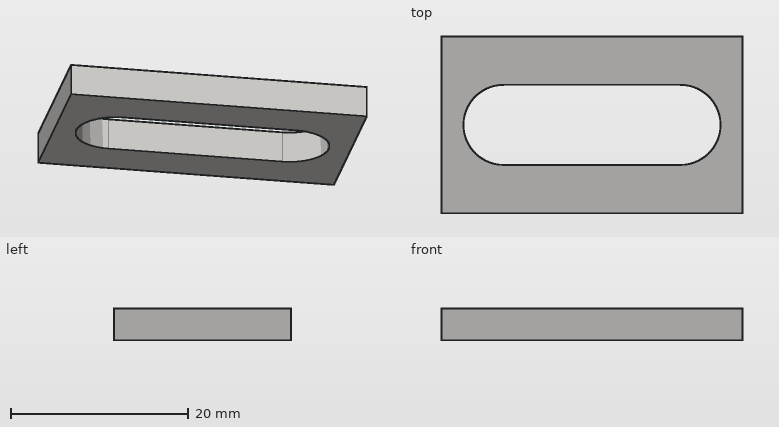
import cadquery as cq

plate_length = 34.0
plate_width = 20.0
plate_thickness = 3.6

slot_length = 29.0
slot_width = 9.0

plate = cq.Workplane("XY").box(plate_length, plate_width, plate_thickness)

result = plate.faces(">Z").workplane().slot2D(slot_length, slot_width).cutThruAll()